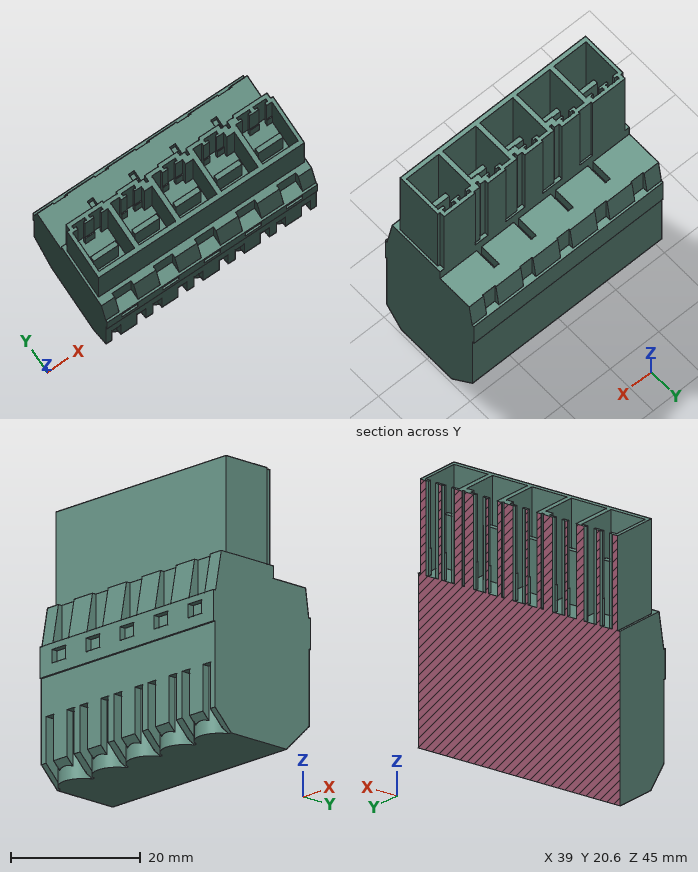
import cadquery as cq


POLES = 5
ROW_SPAN = 30.5
PITCH = ROW_SPAN / (POLES - 1)
LENGTH = 39.0
POLE_XS = [(i - (POLES - 1) / 2) * PITCH for i in range(POLES)]
FIRST_X, LAST_X = POLE_XS[0], POLE_XS[-1]
DIVIDER_XS = [x + PITCH / 2 for x in POLE_XS[:-1]]

HEIGHT = 45.0
WALL_Y = 10.0
RAIL_Y = 10.3
RAIL_BOTTOM_Z = 17.37
RAIL_TOP_Z = 22.45
TAPER_FOOT_Y = 9.9
SHOULDER_Z = 29.15
SHOULDER_FRONT_Y = -8.7
DECK_Z = 27.15
DECK_BACK_Y = 9.23
FRONT_CHAMFER = 3.4
BACK_CHAMFER = 4.8

FRONT_RECESS_WIDTH = 3.5
FRONT_RECESS_Y = -7.95
BACK_RECESS_WIDTH = 2.5
BACK_RECESS_Y = 9.0
WINDOW_WIDTH = 2.95
WINDOW_DEPTH = 1.1
WINDOW_BOTTOM_Z = 19.2
WINDOW_TOP_Z = 21.42
DECK_SLOT_WIDTH = 1.05
DECK_SLOT_BACK_Y = 6.5
DECK_SLOT_DEPTH = 2.25

FUNNEL_RADIUS = 3.9
FUNNEL_Y = -5.1
FUNNEL_HEIGHT = 11.0
FUNNEL_SLOT_INNER = WINDOW_WIDTH / 2
FUNNEL_SLOT_OUTER = 3.15

SHROUD_LENGTH = 38.15
SHROUD_FRONT_Y = -7.3
SHROUD_BACK_Y = 2.45
CORNER_NOTCH_X = 18.65
CORNER_NOTCH_Y = 1.45
SHALLOW_NOTCH_Y = 2.1
STEP_NOTCH_Y = 1.75
DEEP_NOTCH_Y = 1.1
SHALLOW_NOTCH_START = -0.45
SHALLOW_NOTCH_END = 2.1
LAST_NOTCH_END = 0.75
STEP_NOTCH_START = -1.8
DEEP_NOTCH_START = -0.85

DIVIDER_THICKNESS = 0.85
CELL_HALF = (PITCH - DIVIDER_THICKNESS) / 2
END_CELL_X = 18.45
CELL_FRONT_Y = -6.5
LIP_Y = 0.95
END_LIP_Y = 0.8
HIGH_POCKET_Y = 1.45
HIGH_POCKET_END = -1.75
CORNER_BLOCK_START = 2.0
CORNER_BLOCK_Y = 0.1
TEE_NECK_WIDTH = 1.35
TEE_HEAD_WIDTH = 2.35
TEE_HEAD_FRONT_Y = 1.3
TEE_HEAD_BACK_Y = 1.75
END_TEE_OFFSET = 1.55
LIP_FOOT_THICKNESS = 0.2
LIP_FOOT_HEIGHT = 4.5

BLADE_WIDTH = 4.6
BLADE_FRONT_Y = -3.65
BLADE_BACK_Y = -2.8
BLADE_HEIGHT = 9.0


def block(x0, x1, y0, y1, z0, z1):
    """Box between two corners, given as the ends of each axis range in either order."""
    box = cq.Workplane("XY").box(abs(x1 - x0), abs(y1 - y0), abs(z1 - z0))
    return box.translate(((x0 + x1) / 2, (y0 + y1) / 2, (z0 + z1) / 2))


def centred_block(x, width, y0, y1, z0, z1):
    """Box of a given width, centred on x."""
    return block(x - width / 2, x + width / 2, y0, y1, z0, z1)


def shroud_block(x0, x1, y0, y1):
    """Box as tall as the shroud, from the shoulder to the mating end."""
    return block(x0, x1, y0, y1, SHOULDER_Z, HEIGHT)


def base():
    """Lower housing: one cross-section carried along the row of poles."""
    outline = [
        (-WALL_Y + FRONT_CHAMFER, 0),
        (WALL_Y - BACK_CHAMFER, 0),
        (WALL_Y, BACK_CHAMFER),
        (WALL_Y, RAIL_BOTTOM_Z),
        (RAIL_Y, RAIL_BOTTOM_Z),
        (RAIL_Y, RAIL_TOP_Z),
        (TAPER_FOOT_Y, RAIL_TOP_Z),
        (DECK_BACK_Y, DECK_Z),
        (SHROUD_BACK_Y, DECK_Z),
        (SHROUD_BACK_Y, SHOULDER_Z),
        (SHOULDER_FRONT_Y, SHOULDER_Z),
        (-TAPER_FOOT_Y, RAIL_TOP_Z),
        (-RAIL_Y, RAIL_TOP_Z),
        (-RAIL_Y, RAIL_BOTTOM_Z),
        (-WALL_Y, RAIL_BOTTOM_Z),
        (-WALL_Y, FRONT_CHAMFER),
    ]
    return cq.Workplane("YZ").polyline(outline).close().extrude(LENGTH / 2, both=True)


def cut_wall_features(body):
    """Recesses in both tapers, rail windows and the slots in the rear deck."""
    for x in POLE_XS:
        body = body.cut(centred_block(x, FRONT_RECESS_WIDTH, -RAIL_Y, FRONT_RECESS_Y, RAIL_TOP_Z, SHOULDER_Z))
        body = body.cut(centred_block(x, BACK_RECESS_WIDTH, BACK_RECESS_Y, RAIL_Y, RAIL_TOP_Z, DECK_Z))
        window_back_y = WINDOW_DEPTH - RAIL_Y
        body = body.cut(centred_block(x, WINDOW_WIDTH, -RAIL_Y, window_back_y, WINDOW_BOTTOM_Z, WINDOW_TOP_Z))
    floor_z = DECK_Z - DECK_SLOT_DEPTH
    for x in DIVIDER_XS:
        body = body.cut(centred_block(x, DECK_SLOT_WIDTH, SHROUD_BACK_Y, DECK_SLOT_BACK_Y, floor_z, DECK_Z))
    return body


def add_funnels(body):
    """Round wire funnels, each bared by two slots through the front wall."""
    for x in POLE_XS:
        for side in (-1, 1):
            inner_x = x + side * FUNNEL_SLOT_INNER
            outer_x = x + side * FUNNEL_SLOT_OUTER
            body = body.cut(block(inner_x, outer_x, -WALL_Y, FUNNEL_Y, 0, FUNNEL_HEIGHT))
    for x in POLE_XS:
        body = body.union(cq.Workplane("XY").center(x, FUNNEL_Y).circle(FUNNEL_RADIUS).extrude(FUNNEL_HEIGHT))
    return body


def shroud():
    """Solid shroud with its rear corners and coding notches cut away."""
    half = SHROUD_LENGTH / 2
    body = shroud_block(-half, half, SHROUD_FRONT_Y, SHROUD_BACK_Y)
    for side in (-1, 1):
        body = body.cut(shroud_block(side * CORNER_NOTCH_X, side * half, CORNER_NOTCH_Y, SHROUD_BACK_Y))
    for x in DIVIDER_XS:
        end = LAST_NOTCH_END if x == DIVIDER_XS[-1] else SHALLOW_NOTCH_END
        body = body.cut(shroud_block(x + SHALLOW_NOTCH_START, x + end, SHALLOW_NOTCH_Y, SHROUD_BACK_Y))
    for x in DIVIDER_XS[1:]:
        body = body.cut(shroud_block(x + STEP_NOTCH_START, x + DEEP_NOTCH_START, STEP_NOTCH_Y, SHROUD_BACK_Y))
        body = body.cut(
            shroud_block(x + DEEP_NOTCH_START, x + SHALLOW_NOTCH_START, DEEP_NOTCH_Y, SHROUD_BACK_Y)
        )
    return body


def tee_slot(x):
    """T-shaped key slot opening through the lip of a cell."""
    neck = shroud_block(x - TEE_NECK_WIDTH / 2, x + TEE_NECK_WIDTH / 2, LIP_Y, TEE_HEAD_FRONT_Y)
    head = shroud_block(x - TEE_HEAD_WIDTH / 2, x + TEE_HEAD_WIDTH / 2, TEE_HEAD_FRONT_Y, TEE_HEAD_BACK_Y)
    return neck.union(head)


def lip_foot(x0, x1, lip_y):
    """Low ledge that thickens a lip next to the cell floor."""
    return block(x0, x1, lip_y - LIP_FOOT_THICKNESS, lip_y, SHOULDER_Z, SHOULDER_Z + LIP_FOOT_HEIGHT)


def middle_cell(x):
    """Space inside a middle cell: one key slot, a high left corner and a filled right corner."""
    left, right = x - CELL_HALF, x + CELL_HALF
    high_end = x + HIGH_POCKET_END
    block_start = x + CORNER_BLOCK_START
    space = shroud_block(left, right, CELL_FRONT_Y, LIP_Y)
    space = space.union(shroud_block(left, high_end, LIP_Y, HIGH_POCKET_Y))
    space = space.cut(shroud_block(block_start, right, CORNER_BLOCK_Y, LIP_Y))
    space = space.cut(lip_foot(high_end, x - TEE_NECK_WIDTH / 2, LIP_Y))
    space = space.cut(lip_foot(x + TEE_NECK_WIDTH / 2, block_start, LIP_Y))
    return space.union(tee_slot(x))


def end_cell(x, side):
    """Space inside an end cell: two key slots and a thicker lip at the outer wall (side is -1 or 1)."""
    outer_x = side * END_CELL_X
    lip_end = x + side * (END_TEE_OFFSET + TEE_NECK_WIDTH / 2)
    tongue_half = END_TEE_OFFSET - TEE_NECK_WIDTH / 2
    space = shroud_block(x - side * CELL_HALF, outer_x, CELL_FRONT_Y, LIP_Y)
    space = space.cut(shroud_block(lip_end, outer_x, END_LIP_Y, LIP_Y))
    space = space.cut(lip_foot(lip_end, outer_x, END_LIP_Y))
    space = space.cut(lip_foot(x - tongue_half, x + tongue_half, LIP_Y))
    return space.union(tee_slot(x - END_TEE_OFFSET)).union(tee_slot(x + END_TEE_OFFSET))


def make_housing():
    """Base and shroud as one solid with a hollow cell for each pole."""
    body = add_funnels(cut_wall_features(base())).union(shroud())
    body = body.cut(end_cell(FIRST_X, -1)).cut(end_cell(LAST_X, 1))
    for x in POLE_XS[1:-1]:
        body = body.cut(middle_cell(x))
    return body


def make_blade(x):
    """Flat contact blade standing on the floor of the cell at x."""
    return centred_block(x, BLADE_WIDTH, BLADE_FRONT_Y, BLADE_BACK_Y, SHOULDER_Z, SHOULDER_Z + BLADE_HEIGHT)


housing = make_housing()
blades = [make_blade(x) for x in POLE_XS]

result = cq.Compound.makeCompound([housing.val(), *[blade.val() for blade in blades]])